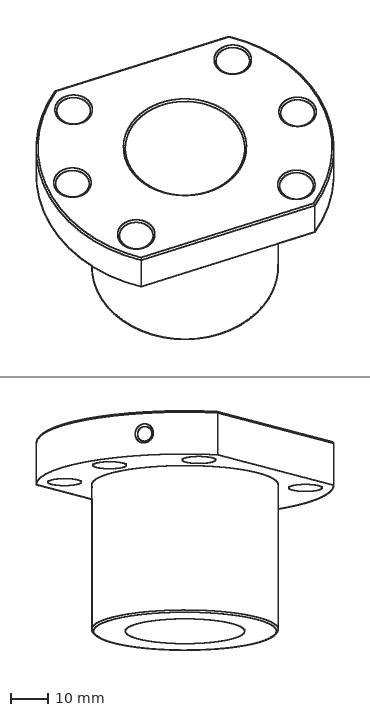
import cadquery as cq
import math

FLANGE_DIAMETER = 79.75
FLANGE_WIDTH = 62.0
FLANGE_THICKNESS = 12.0
TOTAL_HEIGHT = 52.0
FLANGE_BOTTOM = TOTAL_HEIGHT - FLANGE_THICKNESS

BODY_DIAMETER = 50.0
BORE_DIAMETER = 32.0
EDGE_CHAMFER = 0.5

BOLT_HOLE_DIAMETER = 9.0
BOLT_CIRCLE_RADIUS = 32.45
BOLT_SPACING_ANGLE = 45.0
CORNER_HOLE_OFFSET = -0.5
BOLT_ANGLES = (
    90.0 - BOLT_SPACING_ANGLE,
    90.0,
    90.0 + BOLT_SPACING_ANGLE,
    270.0 - BOLT_SPACING_ANGLE,
    270.0,
    270.0 + BOLT_SPACING_ANGLE + CORNER_HOLE_OFFSET,
)

OIL_HOLE_DIAMETER = 4.0
OIL_MOUTH_DIAMETER = 5.2
OIL_HOLE_DEPTH = 15.95
OIL_ANGLE = 90.0 + BOLT_SPACING_ANGLE / 2


def make_flange():
    disc = cq.Workplane("XY").circle(FLANGE_DIAMETER / 2).extrude(FLANGE_THICKNESS)
    flats = cq.Workplane("XY").rect(FLANGE_WIDTH, FLANGE_DIAMETER).extrude(FLANGE_THICKNESS)
    flange = disc.intersect(flats).faces(">Z").chamfer(EDGE_CHAMFER)
    return flange.translate((0, 0, FLANGE_BOTTOM))


def make_body():
    body = cq.Workplane("XY").circle(BODY_DIAMETER / 2).extrude(TOTAL_HEIGHT - EDGE_CHAMFER)
    return body.faces("<Z").edges().chamfer(EDGE_CHAMFER)


def make_hole_cutter(diameter, x=0.0, y=0.0):
    """Vertical through hole with a chamfered mouth in the top face."""
    radius = diameter / 2
    hole = cq.Workplane("XY").circle(radius).extrude(TOTAL_HEIGHT)
    mouth = cq.Solid.makeCone(
        radius,
        radius + EDGE_CHAMFER,
        EDGE_CHAMFER,
        pnt=cq.Vector(0, 0, TOTAL_HEIGHT - EDGE_CHAMFER),
    )
    return hole.union(cq.Workplane(mouth)).translate((x, y, 0))


def make_oil_cutter():
    """Blind radial hole in the flange rim, countersunk at its mouth."""
    angle = math.radians(OIL_ANGLE)
    outward = cq.Vector(math.cos(angle), math.sin(angle), 0)
    middle = cq.Vector(0, 0, FLANGE_BOTTOM + FLANGE_THICKNESS / 2)
    rim_point = middle + outward * (FLANGE_DIAMETER / 2)
    inward = outward * -1
    hole = cq.Solid.makeCylinder(OIL_HOLE_DIAMETER / 2, OIL_HOLE_DEPTH, rim_point, inward)
    sink_depth = (OIL_MOUTH_DIAMETER - OIL_HOLE_DIAMETER) / 2
    sink = cq.Solid.makeCone(
        OIL_MOUTH_DIAMETER / 2,
        OIL_HOLE_DIAMETER / 2,
        sink_depth,
        pnt=rim_point,
        dir=inward,
    )
    return cq.Workplane(hole).union(cq.Workplane(sink))


result = make_flange().union(make_body())
result = result.cut(make_hole_cutter(BORE_DIAMETER))

for bolt_angle in BOLT_ANGLES:
    bolt_x = BOLT_CIRCLE_RADIUS * math.cos(math.radians(bolt_angle))
    bolt_y = BOLT_CIRCLE_RADIUS * math.sin(math.radians(bolt_angle))
    result = result.cut(make_hole_cutter(BOLT_HOLE_DIAMETER, bolt_x, bolt_y))

result = result.cut(make_oil_cutter())